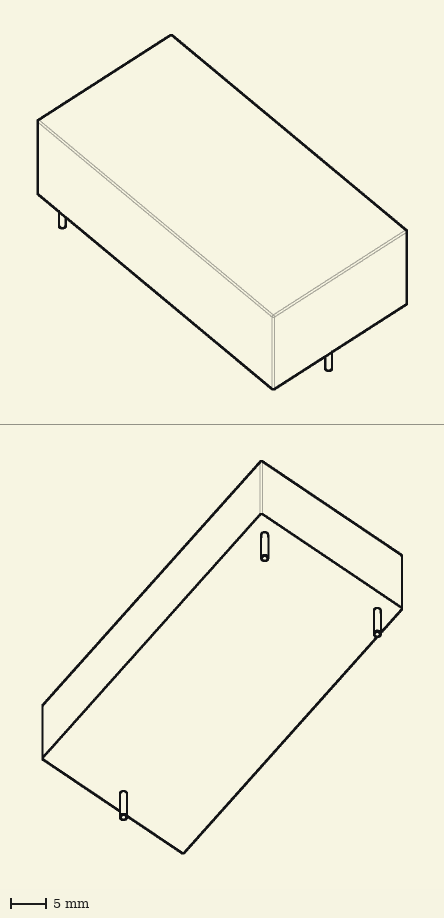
import cadquery as cq

case_length = 50.8
case_width = 25.4
case_height = 15.25
edge_radius = 0.25

pin_diameter = 1.0
pin_length = 6.6
pin_tip_chamfer = 0.1
pin_x = 22.85
pin_y = 10.1
pin_positions = [(-pin_x, -pin_y), (-pin_x, pin_y), (pin_x, 0)]


def make_case():
    """Box with rounded top and upright edges and a sharp bottom rim."""
    box = cq.Workplane("XY").box(case_length, case_width, case_height, centered=(True, True, False))
    return box.edges("|Z or >Z").fillet(edge_radius)


def make_pins():
    """Pins reaching down from the bottom face, with chamfered tips."""
    pins = cq.Workplane("XY").pushPoints(pin_positions).circle(pin_diameter / 2).extrude(-pin_length)
    return pins.faces("<Z").edges().chamfer(pin_tip_chamfer)


result = make_case().union(make_pins())